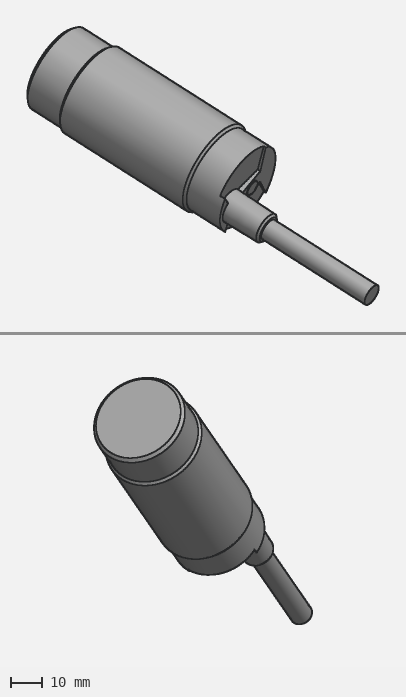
import cadquery as cq
import math

total_length = 134.0

barrel_diameter = 32.0
barrel_radius = barrel_diameter / 2
end_radius = 15.1
barrel_start = 14.0
barrel_end = 65.0
face_chamfer = 1.1
barrel_chamfer = barrel_radius - end_radius
rear_face = 76.4

cap_height = 2.0
cap_top = rear_face + cap_height
ramp_start_y = -3.8
ramp_rim_height = 0.3

rib_half_width = 2.8
recess_floor_y = (-10.2, 6.4)
recess_mouth_y = (-12.5, 9.5)

lens_radius = 2.5
lens_y = 1.3

cable_y = -8.3
sleeve_root_radius = 5.5
sleeve_tip_radius = 5.2
sleeve_end = 92.5
sleeve_chamfer = 0.8
cable_radius = 3.6


def cylinder(radius, start, end, y=0.0):
    """Cylinder along X between two stations."""
    return cq.Workplane("YZ", origin=(start, y, 0)).circle(radius).extrude(end - start)


def ramped_disc():
    """Disc on the rear face whose top is flat at -Y and slopes down to +Y."""
    side_profile = [
        (rear_face, -end_radius),
        (cap_top, -end_radius),
        (cap_top, ramp_start_y),
        (rear_face + ramp_rim_height, end_radius),
        (rear_face, end_radius),
    ]
    block = cq.Workplane("XY").polyline(side_profile).close().extrude(end_radius, both=True)
    return block.intersect(cylinder(end_radius, rear_face, cap_top))


def rim_height(y):
    """Z of the rim circle at a given Y."""
    return math.sqrt(end_radius**2 - y**2)


def side_recess():
    """Cutter for the +Z recess, with flared sides running out past the rim."""
    floor_left, floor_right = recess_floor_y
    mouth_left, mouth_right = recess_mouth_y
    outline = [
        (floor_left, rib_half_width),
        (mouth_left, rim_height(mouth_left)),
        (mouth_left, end_radius),
        (mouth_right, end_radius),
        (mouth_right, rim_height(mouth_right)),
        (floor_right, rib_half_width),
    ]
    return cq.Workplane("YZ", origin=(rear_face, 0, 0)).polyline(outline).close().extrude(cap_height)


def cable_sleeve():
    """Slightly tapered sleeve with a chamfered tip."""
    profile = [
        (rear_face, 0),
        (rear_face, sleeve_root_radius),
        (sleeve_end - sleeve_chamfer, sleeve_tip_radius),
        (sleeve_end, sleeve_tip_radius - sleeve_chamfer),
        (sleeve_end, 0),
    ]
    sleeve = cq.Workplane("XY").polyline(profile).close().revolve(360, (0, 0, 0), (1, 0, 0))
    return sleeve.translate((0, cable_y, 0))


front_end = cylinder(end_radius, 0, barrel_start).faces("<X").chamfer(face_chamfer)
barrel = cylinder(barrel_radius, barrel_start, barrel_end).faces("<X or >X").chamfer(barrel_chamfer)
rear_end = cylinder(end_radius, barrel_end, rear_face)
housing = front_end.union(barrel).union(rear_end)

recess = side_recess()
cap = ramped_disc().cut(recess).cut(recess.mirror("XY"))
lens = cylinder(lens_radius, rear_face, cap_top, lens_y)
cable = cylinder(cable_radius, rear_face, total_length, cable_y)

result = housing.union(cap).union(lens).union(cable_sleeve()).union(cable)